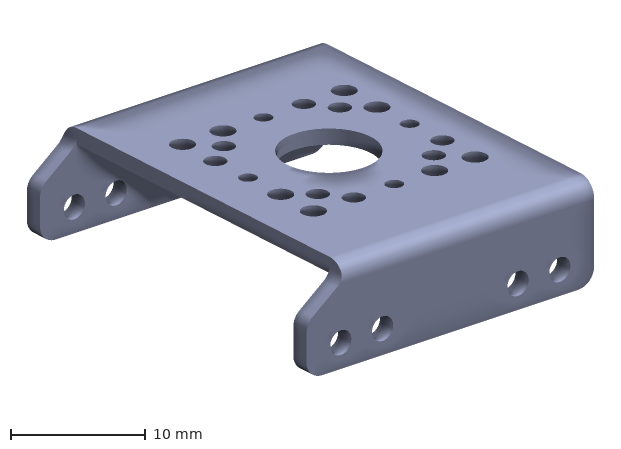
import cadquery as cq

width = 33.0
flange_length = 27.5
height = 8.5

plate_length = 24.0
plate_thickness = 1.32
wall_thickness = 1.55
bend_radius = 1.52

corner_radius = 1.5
nose_drop = 3.95
side_hole_diameter = 2.0
side_hole_height = 2.15
inner_hole_offset = 6.47
outer_hole_offset = 10.45

bore_diameter = 8.0
large_diameter = 2.0
medium_diameter = 1.8
small_diameter = 1.5
pitch = 3.85
reach = 2 * pitch
diagonal_offset = 5.55

back_y = plate_length / 2
plate_front_y = -plate_length / 2
flange_front_y = back_y - flange_length
flange_middle_y = (back_y + flange_front_y) / 2


def channel():
    """Inverted U section with rounded outer bends, as long as the flanges."""
    inner_width = width - 2 * wall_thickness
    outer = (
        cq.Workplane("XY")
        .box(width, flange_length, height)
        .translate((0, flange_middle_y, -height / 2))
        .edges("|Y and >Z")
        .fillet(bend_radius)
    )
    inner = (
        cq.Workplane("XY")
        .box(inner_width, flange_length, height)
        .translate((0, flange_middle_y, -plate_thickness - height / 2))
    )
    return outer.cut(inner)


def side_outline():
    """Block with the flange's side profile, spanning the full width."""
    block = (
        cq.Workplane("YZ")
        .polyline([
            (back_y, 0),
            (plate_front_y, 0),
            (plate_front_y, -plate_thickness),
            (flange_front_y, -nose_drop),
            (flange_front_y, -height),
            (back_y, -height),
        ])
        .close()
        .extrude(width / 2, both=True)
    )
    return block.edges("|X").edges("not >Z").fillet(corner_radius)


def plate_recess():
    """Space between the flanges in front of the plate's straight front edge."""
    overhang = plate_front_y - flange_front_y
    return (
        cq.Workplane("XY")
        .box(width - 2 * wall_thickness, overhang, height)
        .translate((0, plate_front_y - overhang / 2, -height / 2))
    )


def plate_holes(diameter, centres):
    """Cutters through the plate."""
    return cq.Workplane("XY").pushPoints(centres).circle(diameter / 2).extrude(-height)


def side_holes():
    """Cutters running through both flanges."""
    offsets = (-outer_hole_offset, -inner_hole_offset, inner_hole_offset, outer_hole_offset)
    centres = [(flange_middle_y + offset, side_hole_height - height) for offset in offsets]
    return (
        cq.Workplane("YZ")
        .pushPoints(centres)
        .circle(side_hole_diameter / 2)
        .extrude(width / 2, both=True)
    )


signs = (-1, 1)
corners = [(x * reach, y * reach) for x in signs for y in signs]
diagonals = [(x * diagonal_offset, y * diagonal_offset) for x in signs for y in signs]
midpoints = [(reach, 0), (0, reach), (-reach, 0), (0, -reach)]

large_edges = []
medium_edges = []
for sign in signs:
    large_edges += [(sign * reach, sign * pitch), (-sign * pitch, sign * reach)]
    medium_edges += [(sign * pitch, sign * reach), (-sign * reach, sign * pitch)]

result = (
    channel()
    .intersect(side_outline())
    .cut(plate_recess())
    .cut(plate_holes(bore_diameter, [(0, 0)]))
    .cut(plate_holes(large_diameter, corners + large_edges))
    .cut(plate_holes(medium_diameter, diagonals + medium_edges))
    .cut(plate_holes(small_diameter, midpoints))
    .cut(side_holes())
)